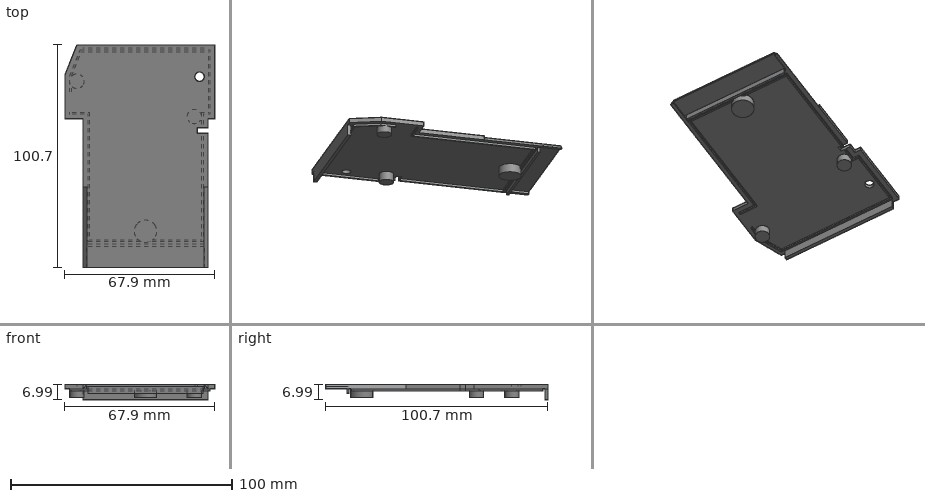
import cadquery as cq

plate_width = 67.9
plate_length = 100.7
plate_thickness = 2.0
total_height = 6.99

tongue_left = 8.2
tongue_right = 64.85
head_front = plate_length - 33.5
corner_cut_x = 5.45
corner_cut_y = 13.6

slope_length = 36.5
slope_width = 1.85

front_thickness = 1.0
pocket_margin = 1.6
pocket_corner_x = 0.8

rib_front = 9.6
rib_thickness = 1.1
rib_back = rib_front + rib_thickness
rib_left = tongue_left + pocket_margin + pocket_corner_x
rib_right = tongue_right - pocket_margin - pocket_corner_x
rib_bottom = 4.0

rim_inset = 2.2
rim_wall = 0.75
rim_bottom = 3.0
rim_front = 11.8
rim_back = plate_length - 2.4
rim_gap_front = head_front + rim_inset + rim_wall
rim_gap_back = plate_length - 21.1
rim_gap_right = tongue_left

back_wall_thickness = 1.5

boss_bottom = 6.0
bosses = [
    (5.44, plate_length - 16.45, 6.6),
    (58.6, plate_length - 32.45, 6.5),
    (36.5, 16.4, 10.12),
]

hole_x = 60.95
hole_y = plate_length - 14.4
hole_diameter = 4.17
notch_left = 59.95
notch_back = plate_length - 37.5
notch_width = 2.4


def block(x_min, x_max, y_min, y_max, z_min, z_max):
    """Axis-aligned box given by its limits."""
    size = (x_max - x_min, y_max - y_min, z_max - z_min)
    return cq.Workplane("XY").box(*size, centered=False).translate((x_min, y_min, z_min))


def plate_outline(z):
    """Closed outline of the plate at height z."""
    return cq.Workplane("XY").workplane(offset=z).polyline([
        (tongue_left, 0),
        (tongue_right, 0),
        (tongue_right, head_front),
        (plate_width, head_front),
        (plate_width, plate_length),
        (corner_cut_x, plate_length),
        (0, plate_length - corner_cut_y),
        (0, head_front),
        (tongue_left, head_front),
    ]).close()


def slope_cutter(edge_x, inward):
    """Wedge removed above one sloped edge; inward is +1 or -1 along X."""
    profile = cq.Workplane("XZ").polyline([
        (edge_x, 0),
        (edge_x + inward * slope_width, 0),
        (edge_x, -plate_thickness),
    ]).close()
    return profile.extrude(-slope_length)


def front_pocket():
    """Pocket under the front edge, with slanted back corners."""
    left = tongue_left + pocket_margin
    right = tongue_right - pocket_margin
    plan = cq.Workplane("XY").workplane(offset=-plate_thickness).polyline([
        (left, 0),
        (right, 0),
        (right, rib_front),
        (rib_right, rib_back),
        (rib_left, rib_back),
        (left, rib_front),
    ]).close()
    return plan.extrude(plate_thickness - front_thickness)


def rim_region(wall):
    """Area enclosed by the rim, shrunk inwards by wall."""
    area = plate_outline(-rim_bottom).offset2D(-(rim_inset + wall), "intersection")
    limits = block(0, plate_width, rim_front + wall, rim_back - wall, -rim_bottom, -plate_thickness)
    return area.extrude(rim_bottom - plate_thickness).intersect(limits)


def rim():
    """Locating rim with an opening in its left side."""
    gap = block(0, rim_gap_right, rim_gap_front, rim_gap_back, -rim_bottom, -plate_thickness)
    return rim_region(0).cut(rim_region(rim_wall)).cut(gap)


def boss(x, y, diameter):
    """Round boss hanging from the plate."""
    base = cq.Workplane("XY").workplane(offset=-boss_bottom).center(x, y)
    return base.circle(diameter / 2).extrude(boss_bottom - plate_thickness)


result = plate_outline(-plate_thickness).extrude(plate_thickness)
result = result.cut(slope_cutter(tongue_left, 1))
result = result.cut(slope_cutter(tongue_right, -1))
result = result.cut(front_pocket())

result = result.union(block(rib_left, rib_right, rib_front, rib_back, -rib_bottom, -front_thickness))
back_wall_front = plate_length - back_wall_thickness
result = result.union(
    block(tongue_left, tongue_right, back_wall_front, plate_length, -total_height, -plate_thickness)
)
result = result.union(rim())
for boss_x, boss_y, boss_diameter in bosses:
    result = result.union(boss(boss_x, boss_y, boss_diameter))

hole = cq.Workplane("XY").workplane(offset=-total_height).center(hole_x, hole_y)
result = result.cut(hole.circle(hole_diameter / 2).extrude(total_height))
notch_front = notch_back - notch_width
result = result.cut(block(notch_left, tongue_right, notch_front, notch_back, -total_height, 0))